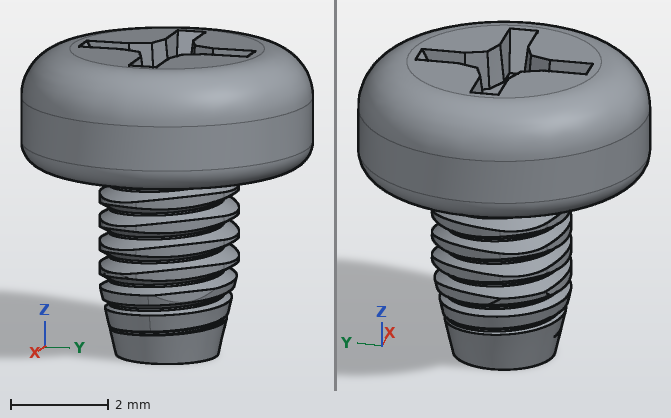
import cadquery as cq
import math

head_diameter = 6.0
head_height = 2.4
top_fillet = 1.0
bottom_fillet = 0.47

recess_depth = 0.8
recess_top = {"reach": 1.8, "half_width": 0.295, "shoulder": 0.9, "corner": 0.46}
recess_bottom = {"reach": 1.345, "half_width": 0.2, "shoulder": 0.85, "corner": 0.405}

shank_length = 4.0
lobe_count = 3
first_lobe_angle = 90.0
lobe_radius = 1.5
flat_radius = 1.37
tip_radius = 1.056
tip_half_angle = 13.0

pitch = 0.5
thread_half_angle = 30.0
root_radius = 1.18
sharp_crest_radius = 1.57
groove_outer_radius = 1.55
groove_start_angle = 245.0


def polar(radius, angle, center=(0.0, 0.0)):
    """Point at a radius and an angle in degrees around a center."""
    a = math.radians(angle)
    return (center[0] + radius * math.cos(a), center[1] + radius * math.sin(a))


def make_head():
    """Round head with a generous upper and a small lower rounding."""
    head = cq.Workplane("XY").circle(head_diameter / 2).extrude(head_height)
    head = head.faces(">Z").edges().fillet(top_fillet)
    return head.faces("<Z").edges().fillet(bottom_fillet)


def cross_outline(size):
    """Corner points of a four-armed cross with splayed inner corners."""
    arm = [
        (size["corner"], -size["corner"]),
        (size["shoulder"], -size["half_width"]),
        (size["reach"], -size["half_width"]),
        (size["reach"], size["half_width"]),
        (size["shoulder"], size["half_width"]),
    ]
    points = []
    for _ in range(4):
        points.extend(arm)
        arm = [(-y, x) for x, y in arm]
    return points


def make_recess():
    """Tapered cross pocket, narrowing toward its floor."""
    floor_height = head_height - recess_depth
    floor = cq.Workplane("XY").workplane(offset=floor_height).polyline(cross_outline(recess_bottom)).close()
    mouth = floor.workplane(offset=recess_depth).polyline(cross_outline(recess_top)).close()
    return mouth.loft(ruled=True)


def make_trilobe():
    """Constant-width shank: three small lobe arcs joined tangentially by three large arcs."""
    center_offset = (lobe_radius - flat_radius) / (2 - math.sqrt(3))
    lobe_arc = lobe_radius - center_offset
    lobe_step = 360 / lobe_count
    half_arc = lobe_step / 4
    start = polar(lobe_arc, first_lobe_angle - half_arc, polar(center_offset, first_lobe_angle))
    section = cq.Workplane("XY").moveTo(*start)
    for index in range(lobe_count):
        lobe_angle = first_lobe_angle + lobe_step * index
        next_angle = lobe_angle + lobe_step
        lobe_end = polar(lobe_arc, lobe_angle + half_arc, polar(center_offset, lobe_angle))
        next_start = polar(lobe_arc, next_angle - half_arc, polar(center_offset, next_angle))
        section = section.threePointArc(polar(lobe_radius, lobe_angle), lobe_end)
        section = section.threePointArc(polar(flat_radius, lobe_angle + lobe_step / 2), next_start)
    return section.close().extrude(-shank_length)


def make_tip_envelope():
    """Cone that widens upward from the tip and clears the lobes at the head."""
    wide_radius = tip_radius + shank_length * math.tan(math.radians(tip_half_angle))
    profile = [(0, -shank_length), (tip_radius, -shank_length), (wide_radius, 0), (0, 0)]
    return cq.Workplane("XZ").polyline(profile).close().revolve(360, (0, 0), (0, 1))


def make_groove():
    """Helical V groove, running past both ends of the shank."""
    slope = math.tan(math.radians(thread_half_angle))
    root_half = pitch / 2 - (sharp_crest_radius - root_radius) * slope
    outer_half = root_half + (groove_outer_radius - root_radius) * slope
    bottom = -shank_length - pitch
    profile = [
        (root_radius, bottom - root_half),
        (groove_outer_radius, bottom - outer_half),
        (groove_outer_radius, bottom + outer_half),
        (root_radius, bottom + root_half),
    ]
    path = cq.Wire.makeHelix(pitch, shank_length + 2 * pitch, root_radius, cq.Vector(0, 0, bottom))
    groove = cq.Workplane("XZ").polyline(profile).close().sweep(cq.Workplane(obj=path), isFrenet=True)
    return groove.rotate((0, 0, 0), (0, 0, 1), groove_start_angle)


shank = make_trilobe().intersect(make_tip_envelope()).cut(make_groove())
result = make_head().cut(make_recess()).union(shank)